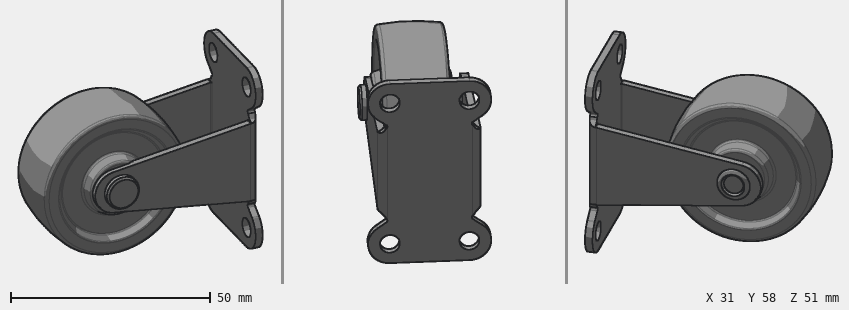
import cadquery as cq
import math


HOLE_PITCH_X = 20.0
HOLE_PITCH_Z = 40.0
HOLE_DIAMETER = 5.0
EAR_RADIUS = 5.5
EAR_FLANK_ANGLE = 36.0
SHEET = 1.95
PLATE_BACK_Y = 37.95
PLATE_FRONT_Y = PLATE_BACK_Y - SHEET
PLATE_HALF_HEIGHT = HOLE_PITCH_Z / 2 + EAR_RADIUS

LEG_OUTER_X = 13.0
LEG_INNER_X = LEG_OUTER_X - SHEET
BEND_INNER_RADIUS = 0.3
BEND_OUTER_RADIUS = BEND_INNER_RADIUS + SHEET
BEND_END_Y = PLATE_BACK_Y - BEND_OUTER_RADIUS
LEG_ROOT_HALF_HEIGHT = 11.0
LEG_TIP_RADIUS = 5.8
LEG_TIP_CENTRE_Y = -1.3
LEG_TIP_Y = LEG_TIP_CENTRE_Y - LEG_TIP_RADIUS

NOTCH_INNER_X = 10.6
NOTCH_INNER_Z = 13.3
NOTCH_FLANK_X = 10.85
NOTCH_LEG_Z = 12.85
NOTCH_CURVE_X = 11.7
NOTCH_CURVE_Z = 11.75

AXLE_RADIUS = 3.0
HEAD_RADIUS = 4.45
HEAD_HEIGHT = 1.8
HEAD_CHAMFER = 0.5
RIVET_RADIUS = 4.3
RIVET_HEIGHT = 0.6
RIVET_CREST_RADIUS = 3.0
RIVET_SHOULDER_RADIUS = 3.8
RIVET_SHOULDER_HEIGHT = 0.4
RIVET_FLOOR_RADIUS = 2.25
RIVET_HOLLOW_DEPTH = 0.85

WHEEL_RADIUS = 20.0
WHEEL_OFFSET_X = 1.5
TREAD_EDGE_RADIUS = 19.35
TREAD_HALF_WIDTH = 8.5
HUB_HALF_WIDTH = 10.0
WEB_HALF_WIDTH = 6.8
HUB_FACE_RADIUS = 7.4
HUB_ROOT_RADIUS = 8.4
RECESS_FACE_RADIUS = 15.65
RECESS_FLOOR_RADIUS = 14.25
TREAD_FILLET = 1.0
HUB_FACE_FILLET = 0.85
HUB_ROOT_FILLET = 0.65
RECESS_FILLET = 0.5
RADIUS_TOLERANCE = 0.005


def round_circles(body, radius, fillet):
    """Fillet the circular edges of the given radius."""
    rims = [e for e in body.edges("%CIRCLE").vals() if abs(e.radius() - radius) < RADIUS_TOLERANCE]
    return body.newObject(rims).fillet(fillet)


def revolve_about_axle(profile):
    """Revolve a closed profile of (x, radius) points about the X axis."""
    return profile.close().revolve(360, (0, 0, 0), (1, 0, 0))


def make_wheel():
    """Crowned wheel with a dished web and a tapered hub on both sides."""
    profile = (
        cq.Workplane("XZ")
        .moveTo(-HUB_HALF_WIDTH, AXLE_RADIUS)
        .lineTo(-HUB_HALF_WIDTH, HUB_FACE_RADIUS)
        .lineTo(-WEB_HALF_WIDTH, HUB_ROOT_RADIUS)
        .lineTo(-WEB_HALF_WIDTH, RECESS_FLOOR_RADIUS)
        .lineTo(-TREAD_HALF_WIDTH, RECESS_FACE_RADIUS)
        .lineTo(-TREAD_HALF_WIDTH, TREAD_EDGE_RADIUS)
        .threePointArc((0, WHEEL_RADIUS), (TREAD_HALF_WIDTH, TREAD_EDGE_RADIUS))
        .lineTo(TREAD_HALF_WIDTH, RECESS_FACE_RADIUS)
        .lineTo(WEB_HALF_WIDTH, RECESS_FLOOR_RADIUS)
        .lineTo(WEB_HALF_WIDTH, HUB_ROOT_RADIUS)
        .lineTo(HUB_HALF_WIDTH, HUB_FACE_RADIUS)
        .lineTo(HUB_HALF_WIDTH, AXLE_RADIUS)
    )
    wheel = revolve_about_axle(profile)
    wheel = round_circles(wheel, TREAD_EDGE_RADIUS, TREAD_FILLET)
    wheel = round_circles(wheel, RECESS_FACE_RADIUS, RECESS_FILLET)
    wheel = round_circles(wheel, RECESS_FLOOR_RADIUS, RECESS_FILLET)
    wheel = round_circles(wheel, HUB_ROOT_RADIUS, HUB_ROOT_FILLET)
    wheel = round_circles(wheel, HUB_FACE_RADIUS, HUB_FACE_FILLET)
    return wheel.translate((WHEEL_OFFSET_X, 0, 0))


def make_rounded_block(half_width, back_y, bend_radius):
    """Block between the notches, reaching back from the leg tips, with its two back edges rounded."""
    depth = back_y - LEG_TIP_Y
    return (
        cq.Workplane("XY", origin=(0, LEG_TIP_Y + depth / 2, 0))
        .box(2 * half_width, depth, 2 * NOTCH_INNER_Z)
        .edges("|Z and >Y")
        .fillet(bend_radius)
    )


def make_channel():
    """U-shaped sheet: the plate between the notches, two rounded bends and both legs."""
    outside = make_rounded_block(LEG_OUTER_X, PLATE_BACK_Y, BEND_OUTER_RADIUS)
    inside = make_rounded_block(LEG_INNER_X, PLATE_FRONT_Y, BEND_INNER_RADIUS)
    return outside.cut(inside)


def make_leg_outline():
    """Prism along X with the side outline: full-height plate, legs tapering to a round tip."""
    root_to_tip = BEND_END_Y - LEG_TIP_CENTRE_Y
    root_distance = math.hypot(root_to_tip, LEG_ROOT_HALF_HEIGHT)
    root_angle = math.atan2(LEG_ROOT_HALF_HEIGHT, root_to_tip)
    touch_angle = root_angle + math.acos(LEG_TIP_RADIUS / root_distance)
    touch_y = LEG_TIP_CENTRE_Y + LEG_TIP_RADIUS * math.cos(touch_angle)
    touch_z = LEG_TIP_RADIUS * math.sin(touch_angle)
    return (
        cq.Workplane("YZ")
        .moveTo(BEND_END_Y, -LEG_ROOT_HALF_HEIGHT)
        .lineTo(touch_y, -touch_z)
        .threePointArc((LEG_TIP_Y, 0), (touch_y, touch_z))
        .lineTo(BEND_END_Y, LEG_ROOT_HALF_HEIGHT)
        .lineTo(PLATE_FRONT_Y, LEG_ROOT_HALF_HEIGHT)
        .lineTo(PLATE_FRONT_Y, PLATE_HALF_HEIGHT)
        .lineTo(PLATE_BACK_Y, PLATE_HALF_HEIGHT)
        .lineTo(PLATE_BACK_Y, -PLATE_HALF_HEIGHT)
        .lineTo(PLATE_FRONT_Y, -PLATE_HALF_HEIGHT)
        .lineTo(PLATE_FRONT_Y, -LEG_ROOT_HALF_HEIGHT)
        .close()
        .extrude(LEG_OUTER_X, both=True)
    )


def make_face_outline(depth):
    """Prism forward from the mounting face: ears, notches and leg roots."""
    ear_x = HOLE_PITCH_X / 2
    ear_z = HOLE_PITCH_Z / 2
    flank = math.radians(EAR_FLANK_ANGLE)
    flank_x = ear_x + EAR_RADIUS * math.sin(flank)
    flank_z = ear_z - EAR_RADIUS * math.cos(flank)
    notch_flank_z = flank_z - (flank_x - NOTCH_FLANK_X) * math.tan(flank)
    quarter = (
        cq.Workplane("XZ", origin=(0, PLATE_BACK_Y, 0))
        .moveTo(0, 0)
        .lineTo(0, PLATE_HALF_HEIGHT)
        .lineTo(ear_x, PLATE_HALF_HEIGHT)
        .threePointArc((ear_x + EAR_RADIUS, ear_z), (flank_x, flank_z))
        .lineTo(NOTCH_FLANK_X, notch_flank_z)
        .threePointArc((NOTCH_INNER_X, NOTCH_INNER_Z), (LEG_INNER_X, NOTCH_LEG_Z))
        .threePointArc((NOTCH_CURVE_X, NOTCH_CURVE_Z), (LEG_OUTER_X, LEG_ROOT_HALF_HEIGHT))
        .lineTo(LEG_OUTER_X, 0)
        .close()
        .extrude(depth)
    )
    half = quarter.union(quarter.mirror("XY"))
    return half.union(half.mirror("YZ"))


def make_axle():
    """Axle with a plain head at +X and a hollow rolled rivet end at -X."""
    head_end_x = LEG_OUTER_X + HEAD_HEIGHT
    rivet_end_x = -LEG_OUTER_X - RIVET_HEIGHT
    hollow_floor_x = rivet_end_x + RIVET_HOLLOW_DEPTH
    shoulder = (-LEG_OUTER_X - RIVET_SHOULDER_HEIGHT, RIVET_SHOULDER_RADIUS)
    profile = (
        cq.Workplane("XY")
        .moveTo(hollow_floor_x, 0)
        .lineTo(hollow_floor_x, RIVET_FLOOR_RADIUS)
        .lineTo(rivet_end_x, RIVET_CREST_RADIUS)
        .threePointArc(shoulder, (-LEG_OUTER_X, RIVET_RADIUS))
        .lineTo(-LEG_OUTER_X, AXLE_RADIUS)
        .lineTo(LEG_OUTER_X, AXLE_RADIUS)
        .lineTo(LEG_OUTER_X, HEAD_RADIUS)
        .lineTo(head_end_x - HEAD_CHAMFER, HEAD_RADIUS)
        .lineTo(head_end_x, HEAD_RADIUS - HEAD_CHAMFER)
        .lineTo(head_end_x, 0)
    )
    return revolve_about_axle(profile)


def make_holes():
    """Cylinders for the four mounting holes."""
    return (
        cq.Workplane("XZ", origin=(0, PLATE_BACK_Y, 0))
        .rarray(HOLE_PITCH_X, HOLE_PITCH_Z, 2, 2)
        .circle(HOLE_DIAMETER / 2)
        .extrude(SHEET)
    )


def make_bracket(wheel):
    """Mounting plate, two legs and the riveted axle, recessed where the wheel hub enters a leg."""
    full_depth = PLATE_BACK_Y - LEG_TIP_Y
    legs = make_channel().intersect(make_leg_outline()).intersect(make_face_outline(full_depth))
    bend_zone = cq.Workplane("XY").box(2 * LEG_OUTER_X, 2 * PLATE_BACK_Y, 2 * NOTCH_INNER_Z)
    ears = make_face_outline(SHEET).cut(bend_zone)
    return legs.union(ears).cut(make_holes()).cut(wheel).union(make_axle())


wheel = make_wheel()
bracket = make_bracket(wheel)
result = cq.Compound.makeCompound([bracket.solids().val(), wheel.solids().val()])